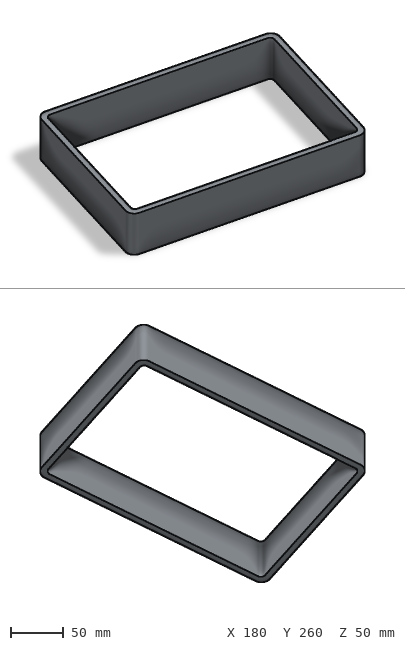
import cadquery as cq

width = 180.0
length = 260.0
height = 50.0

wall = 6.5
outer_radius = 9.5
inner_radius = 5.0


def rounded_block(size_x, size_y, corner_radius):
    """Upright block with rounded vertical edges, standing on Z = 0."""
    block = cq.Workplane("XY").rect(size_x, size_y).extrude(height)
    return block.edges("|Z").fillet(corner_radius)


outer_body = rounded_block(width, length, outer_radius)
opening = rounded_block(width - 2 * wall, length - 2 * wall, inner_radius)

result = outer_body.cut(opening)